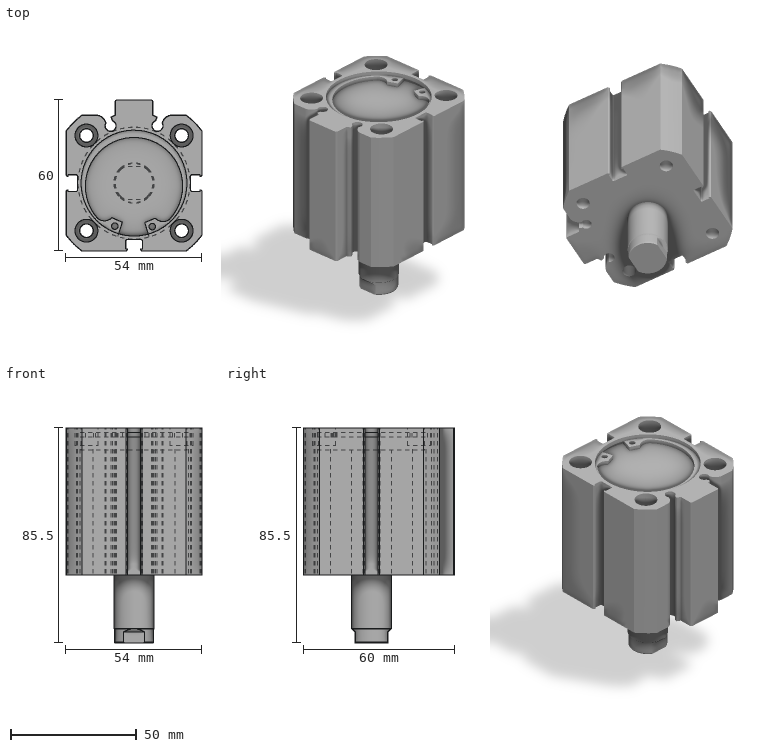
import cadquery as cq
import math

BODY_WIDTH = 54.0
BODY_HEIGHT = 58.5
HALF_BODY = BODY_WIDTH / 2
CORNER_RADIUS = 34.0

SLOT_DEPTH = 4.5
SLOT_WIDTH = 6.6
SLOT_MOUTH = 5.3
LIP_THICKNESS = 0.85
MOUTH_CHAMFER = 0.5
FLOOR_CHAMFER = 0.3

RAIL_TOP = 33.0
RAIL_WIDTH = 15.05
RAIL_CHAMFER = 0.5
GROOVE_RADIUS = 2.1
GROOVE_X = 9.3
GROOVE_Y = 22.75
SHOULDER_START_X = 14.7
SHOULDER_MIDDLE = (12.5, 26.0)
SHOULDER_END = (11.1, 23.5)
BARB_TIP = (9.15, 26.2)
BARB_ROOT = (8.55, 24.7)

HOLE_OFFSET = 18.9
HOLE_DIAMETER = 5.3
COUNTERBORE_DIAMETER = 9.1
COUNTERBORE_DEPTH = 7.0

BORE_DIAMETER = 42.1
RING_RECESS = 1.8
RING_THICKNESS = 1.8
CAP_THICKNESS = 5.1
RING_TOP = BODY_HEIGHT - RING_RECESS
CAP_TOP = RING_TOP - RING_THICKNESS
CAP_BOTTOM = CAP_TOP - CAP_THICKNESS

RING_DIAMETER = 44.5
RING_INNER_RADIUS = 19.3
RING_INNER_OFFSET = 1.2
RING_TURN = -0.7
LUG_START_X = 14.3
LUG_VALLEY = (11.7, -15.1)
LUG_PEAK = (8.6, -13.85)
LUG_CORNER = (4.45, -15.6)
RING_END_X = 6.2
LUG_HOLE_DIAMETER = 2.6
LUG_HOLE_X = 7.4
LUG_HOLE_Y = -17.2

ROD_DIAMETER = 16.0
TOTAL_HEIGHT = 85.5
ROD_REACH = TOTAL_HEIGHT - BODY_HEIGHT
TIP_DIAMETER = 15.5
TIP_LENGTH = 5.6
TIP_CHAMFER_HEIGHT = 0.5
TIP_CHAMFER_INSET = 0.25
FLAT_LENGTH = 4.45
ACROSS_FLATS = 13.0
SHOULDER_CHAMFER = (ROD_DIAMETER - TIP_DIAMETER) / 2


def prism(outline, bottom, top):
    """Extrude a closed outline between two heights."""
    return outline.extrude(top - bottom).translate((0, 0, bottom))


def disc(diameter, bottom, top):
    """Cylinder on the Z axis between two heights."""
    return prism(cq.Workplane("XY").circle(diameter / 2), bottom, top)


def slot_cutter(angle):
    """T-slot of the -Y side, turned about the Z axis."""
    half_slot = SLOT_WIDTH / 2
    half_mouth = SLOT_MOUTH / 2
    half_entry = half_mouth + MOUTH_CHAMFER
    right_edge = [
        (half_entry, -HALF_BODY),
        (half_mouth, -HALF_BODY + MOUTH_CHAMFER),
        (half_mouth, -HALF_BODY + LIP_THICKNESS),
        (half_slot, -HALF_BODY + LIP_THICKNESS),
        (half_slot, -HALF_BODY + SLOT_DEPTH - FLOOR_CHAMFER),
        (half_slot - FLOOR_CHAMFER, -HALF_BODY + SLOT_DEPTH),
    ]
    left_edge = [(-x, y) for x, y in reversed(right_edge)]
    outline = cq.Workplane("XY").polyline(right_edge + left_edge).close()
    return prism(outline, 0, BODY_HEIGHT).rotate((0, 0, 0), (0, 0, 1), angle)


def rail():
    """Plain rail block, reaching down into the housing."""
    length = RAIL_TOP - GROOVE_Y
    block = cq.Workplane("XY").box(RAIL_WIDTH, length, BODY_HEIGHT, centered=(True, False, False))
    block = block.translate((0, GROOVE_Y, 0))
    return block.edges("|Z and >Y").chamfer(RAIL_CHAMFER)


def rail_groove():
    """Open channel and round groove on the +X flank of the rail."""
    channel = (
        cq.Workplane("XY")
        .moveTo(SHOULDER_START_X, HALF_BODY)
        .threePointArc(SHOULDER_MIDDLE, SHOULDER_END)
        .lineTo(GROOVE_X, GROOVE_Y)
        .lineTo(*BARB_ROOT)
        .lineTo(*BARB_TIP)
        .lineTo(RAIL_WIDTH / 2, HALF_BODY)
        .close()
    )
    groove = cq.Workplane("XY").center(GROOVE_X, GROOVE_Y).circle(GROOVE_RADIUS)
    return prism(channel, 0, BODY_HEIGHT).union(prism(groove, 0, BODY_HEIGHT))


def mounting_hole(x, y):
    """Through hole with a counterbore from the top face."""
    hole = disc(HOLE_DIAMETER, 0, BODY_HEIGHT)
    counterbore = disc(COUNTERBORE_DIAMETER, BODY_HEIGHT - COUNTERBORE_DEPTH, BODY_HEIGHT)
    return hole.union(counterbore).translate((x, y, 0))


def make_housing():
    body = prism(cq.Workplane("XY").rect(BODY_WIDTH, BODY_WIDTH), 0, BODY_HEIGHT)
    body = body.intersect(disc(2 * CORNER_RADIUS, 0, BODY_HEIGHT))
    body = body.union(rail())
    for angle in (-90, 0, 90):
        body = body.cut(slot_cutter(angle))
    groove = rail_groove()
    body = body.cut(groove).cut(groove.mirror("YZ"))
    for x in (-HOLE_OFFSET, HOLE_OFFSET):
        for y in (-HOLE_OFFSET, HOLE_OFFSET):
            body = body.cut(mounting_hole(x, y))
    body = body.cut(disc(BORE_DIAMETER, CAP_BOTTOM, BODY_HEIGHT))
    body = body.cut(disc(RING_DIAMETER, CAP_TOP, RING_TOP))
    return body.cut(disc(ROD_DIAMETER, 0, CAP_BOTTOM))


def make_end_cap():
    return disc(BORE_DIAMETER, CAP_BOTTOM, CAP_TOP)


def mirrored(point):
    """The same point on the other side of the YZ plane."""
    return (-point[0], point[1])


def make_retaining_ring():
    """Open ring with an eccentric inner edge and a drilled lug at each end."""
    outer_radius = RING_DIAMETER / 2
    start_drop = math.sqrt(RING_INNER_RADIUS**2 - LUG_START_X**2)
    lug_start = (LUG_START_X, -RING_INNER_OFFSET - start_drop)
    ring_end = (RING_END_X, -math.sqrt(outer_radius**2 - RING_END_X**2))
    ring_outline = (
        cq.Workplane("XY")
        .moveTo(*ring_end)
        .lineTo(*LUG_CORNER)
        .lineTo(*LUG_PEAK)
        .threePointArc(LUG_VALLEY, lug_start)
        .threePointArc((0, RING_INNER_RADIUS - RING_INNER_OFFSET), mirrored(lug_start))
        .threePointArc(mirrored(LUG_VALLEY), mirrored(LUG_PEAK))
        .lineTo(*mirrored(LUG_CORNER))
        .lineTo(*mirrored(ring_end))
        .threePointArc((0, outer_radius), ring_end)
        .close()
    )
    ring = prism(ring_outline, CAP_TOP, RING_TOP)
    for x in (-LUG_HOLE_X, LUG_HOLE_X):
        ring = ring.cut(disc(LUG_HOLE_DIAMETER, CAP_TOP, RING_TOP).translate((x, LUG_HOLE_Y, 0)))
    return ring.rotate((0, 0, 0), (0, 0, 1), RING_TURN)


def wrench_flat_cutter():
    """Material removed from the -Y side of the rod tip, ending in a 45 degree slope."""
    flat_y = -ACROSS_FLATS / 2
    outside_y = -ROD_DIAMETER
    flat_top = FLAT_LENGTH - ROD_REACH
    outline = [
        (flat_y, -ROD_REACH),
        (flat_y, flat_top),
        (outside_y, flat_top + flat_y - outside_y),
        (outside_y, -ROD_REACH),
    ]
    return cq.Workplane("YZ").polyline(outline).close().extrude(ROD_DIAMETER / 2, both=True)


def make_rod():
    """Rod from the underside of the end cap down to its tip, with two wrench flats."""
    shoulder = TIP_LENGTH - ROD_REACH
    shank = disc(ROD_DIAMETER, shoulder, CAP_BOTTOM)
    shank = shank.faces("<Z").chamfer(SHOULDER_CHAMFER)
    tip = disc(TIP_DIAMETER, -ROD_REACH, shoulder)
    tip = tip.faces("<Z").chamfer(TIP_CHAMFER_HEIGHT, TIP_CHAMFER_INSET)
    flat = wrench_flat_cutter()
    return shank.union(tip).cut(flat).cut(flat.mirror("XZ"))


housing = make_housing().solids()
end_cap = make_end_cap().solids()
retaining_ring = make_retaining_ring().solids()
rod = make_rod().solids()

result = cq.Compound.makeCompound([housing.val(), end_cap.val(), retaining_ring.val(), rod.val()])